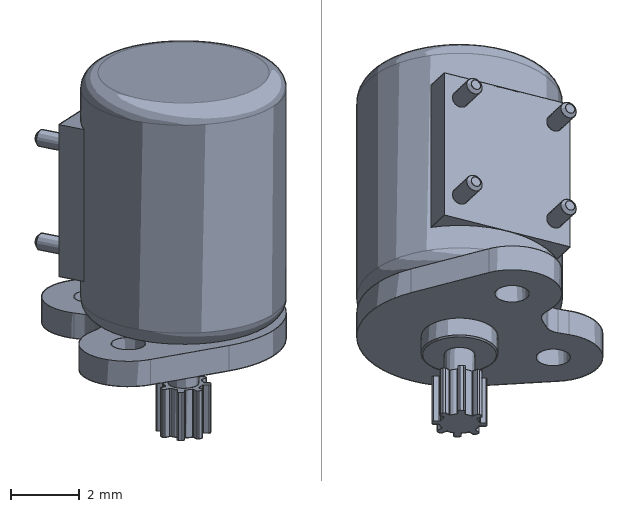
import cadquery as cq
import math


pinion_height = 1.5
neck_height = 0.8
boss_height = 0.6
plate_thickness = 0.8
can_height = 7.5

boss_bottom = pinion_height + neck_height
plate_bottom = boss_bottom + boss_height
can_bottom = plate_bottom + plate_thickness

can_radius = 3.0
can_edge_radius = 0.5

ear_x = 2.0
ear_y = -2.24
ear_radius = 1.45
ear_hole_diameter = 1.0
notch_y = -2.6
notch_half_width = 0.22
notch_corner_radius = 0.5
boss_radius = 1.12
boss_chamfer = 0.05

block_angle = 225
block_width = 4.14
block_height = 4.75
block_face_distance = 3.01
block_depth = 1.46
block_center_height = 3.63
block_center_z = can_bottom + block_center_height
pin_diameter = 0.5
pin_length = 1.0
pin_chamfer = 0.1
pin_column_spacing = 3.1
pin_row_spacing = 3.24

neck_radius = 0.45
tooth_count = 8
tooth_phase = 180 / tooth_count
tip_radius = 0.81
shoulder_radius = 0.77
foot_radius = 0.62
root_radius = 0.58
tip_half_width = 0.05
tooth_half_width = 0.106
root_half_width = 0.12


def on_circle(center, radius, angle):
    """Point on a circle, with the angle in radians."""
    return (center[0] + radius * math.cos(angle), center[1] + radius * math.sin(angle))


def mirrored(point):
    return (-point[0], point[1])


def can_cylinder():
    return cq.Workplane("XY").workplane(offset=can_bottom).circle(can_radius).extrude(can_height)


def make_can():
    return can_cylinder().edges("%CIRCLE").fillet(can_edge_radius)


def plate_outline():
    ear = (ear_x, ear_y)

    ear_direction = math.atan2(ear_y, ear_x)
    side_normal = ear_direction + math.acos((can_radius - ear_radius) / math.hypot(ear_x, ear_y))
    back_end = on_circle((0, 0), can_radius, side_normal)
    ear_start = on_circle(ear, ear_radius, side_normal)

    corner = (notch_half_width, notch_y - notch_corner_radius)
    gap_x = corner[0] - ear_x
    gap_y = corner[1] - ear_y
    gap_direction = math.atan2(gap_y, gap_x) % (2 * math.pi)
    tangent_turn = math.acos((ear_radius + notch_corner_radius) / math.hypot(gap_x, gap_y))
    inner_normal = gap_direction + tangent_turn
    ear_end = on_circle(ear, ear_radius, inner_normal)
    corner_start = on_circle(corner, notch_corner_radius, inner_normal - math.pi)
    corner_middle = on_circle(corner, notch_corner_radius, (inner_normal - math.pi / 2) / 2)
    corner_end = (notch_half_width, notch_y)
    ear_middle = on_circle(ear, ear_radius, (side_normal + inner_normal - 2 * math.pi) / 2)

    return (
        cq.Workplane("XY")
        .workplane(offset=plate_bottom)
        .moveTo(*back_end)
        .lineTo(*ear_start)
        .threePointArc(ear_middle, ear_end)
        .lineTo(*corner_start)
        .threePointArc(corner_middle, corner_end)
        .lineTo(*mirrored(corner_end))
        .threePointArc(mirrored(corner_middle), mirrored(corner_start))
        .lineTo(*mirrored(ear_end))
        .threePointArc(mirrored(ear_middle), mirrored(ear_start))
        .lineTo(*mirrored(back_end))
        .threePointArc((0, can_radius), back_end)
        .close()
    )


def make_plate():
    plate = plate_outline().extrude(plate_thickness)
    ear_holes = (
        cq.Workplane("XY")
        .workplane(offset=plate_bottom)
        .pushPoints([(-ear_x, ear_y), (ear_x, ear_y)])
        .circle(ear_hole_diameter / 2)
        .extrude(plate_thickness)
    )
    boss = cq.Workplane("XY").workplane(offset=boss_bottom).circle(boss_radius).extrude(boss_height)
    boss = boss.faces("<Z").chamfer(boss_chamfer)
    return plate.cut(ear_holes).union(boss)


def make_terminal_block():
    block = cq.Workplane("XY").box(block_depth, block_width, block_height)
    block = block.translate((block_face_distance - block_depth / 2, 0, block_center_z))
    block = block.cut(can_cylinder())

    pins = (
        cq.Workplane("YZ", origin=(block_face_distance, 0, block_center_z))
        .rarray(pin_column_spacing, pin_row_spacing, 2, 2)
        .circle(pin_diameter / 2)
        .extrude(pin_length)
        .faces(">X")
        .chamfer(pin_chamfer)
    )
    return block.union(pins).rotate((0, 0, 0), (0, 0, 1), block_angle)


def tooth_point(radius, half_width, tooth_angle):
    """Point of a tooth flank; the sign of the half width chooses the flank."""
    return on_circle((0, 0), radius, tooth_angle + math.asin(half_width / radius))


def make_pinion_shaft():
    rising_flank = [
        (foot_radius, -tooth_half_width),
        (shoulder_radius, -tooth_half_width),
        (tip_radius, -tip_half_width),
    ]
    falling_flank = [
        (shoulder_radius, tooth_half_width),
        (foot_radius, tooth_half_width),
        (root_radius, root_half_width),
    ]
    tooth_pitch = 2 * math.pi / tooth_count
    first_angle = math.radians(tooth_phase)

    outline = cq.Workplane("XY").moveTo(*tooth_point(root_radius, -root_half_width, first_angle))
    for tooth in range(tooth_count):
        angle = first_angle + tooth * tooth_pitch
        for radius, half_width in rising_flank:
            outline = outline.lineTo(*tooth_point(radius, half_width, angle))
        outline = outline.threePointArc(
            tooth_point(tip_radius, 0, angle), tooth_point(tip_radius, tip_half_width, angle)
        )
        for radius, half_width in falling_flank:
            outline = outline.lineTo(*tooth_point(radius, half_width, angle))
        outline = outline.threePointArc(
            on_circle((0, 0), root_radius, angle + tooth_pitch / 2),
            tooth_point(root_radius, -root_half_width, angle + tooth_pitch),
        )
    pinion = outline.close().extrude(pinion_height)
    neck = cq.Workplane("XY").workplane(offset=pinion_height).circle(neck_radius).extrude(neck_height)
    return pinion.union(neck)


can = make_can()
plate = make_plate()
terminal_block = make_terminal_block()
pinion_shaft = make_pinion_shaft()

result = cq.Compound.makeCompound(
    [can.val(), plate.val(), terminal_block.val(), pinion_shaft.val()]
)